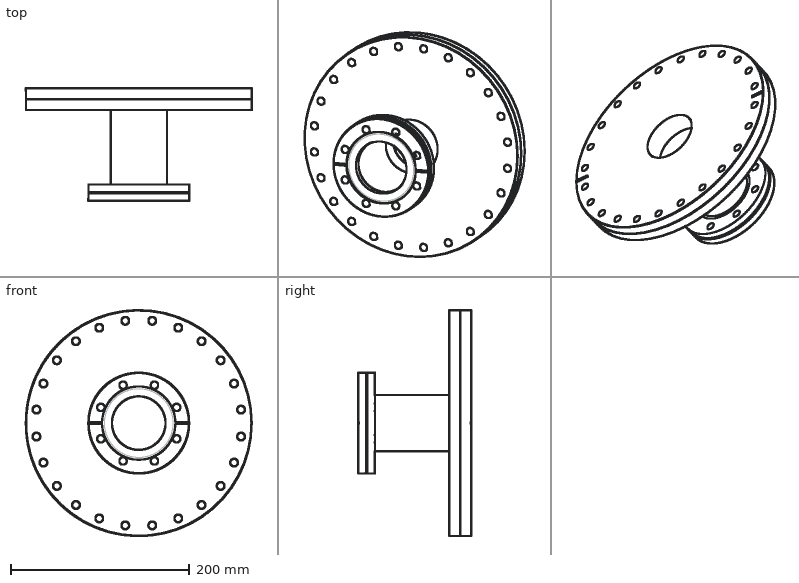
import cadquery as cq

overall_length = 127.0
front_y = -overall_length / 2
back_y = overall_length / 2

edge_chamfer = 0.5
bolt_hole_diameter = 8.5

large_diameter = 254.0
large_thickness = 25.0
large_bolt_count = 24
large_bolt_circle = 232.0
rim_groove_width = 0.8
rim_groove_depth = 0.38
large_front_y = back_y - large_thickness

tube_outer_diameter = 63.5
tube_inner_diameter = 60.0
socket_diameter = 63.8

ring_diameter = 113.5
ring_thickness = 18.8
ring_bolt_count = 8
ring_bolt_circle = 92.2
ring_groove_width = 1.5
ring_groove_depth = 0.8
ring_back_y = front_y + ring_thickness
seat_diameter = 82.5
hub_diameter = 70.5
shoulder_y = front_y + ring_thickness / 2

seal_diameter = 82.3
seal_bore_diameter = 60.2
knife_edge_diameter = 77.2
knife_edge_recess = 1.0
knife_edge_height = 0.8
knife_edge_y = front_y + knife_edge_recess

slot_width = 2.3
slot_depth = 0.8
slot_radius = ((slot_width / 2) ** 2 + slot_depth**2) / (2 * slot_depth)
slot_length = (ring_diameter - seat_diameter) / 2


def revolve_about_y(profile):
    """Turn a closed outline of (radius, y) points into a solid about the Y axis."""
    return cq.Workplane("XY").polyline(profile).close().revolve(360, (0, 0, 0), (0, 1, 0))


def cylinder(diameter, start_y, end_y):
    """Solid cylinder on the Y axis."""
    return cq.Workplane("XZ", origin=(0, start_y, 0)).circle(diameter / 2).extrude(start_y - end_y)


def bolt_holes(count, circle_diameter, start_y, end_y):
    """Drills on a bolt circle, set so that the X axis falls midway between two of them."""
    return (
        cq.Workplane("XZ", origin=(0, start_y, 0))
        .polarArray(circle_diameter / 2, 180 / count, 360, count)
        .circle(bolt_hole_diameter / 2)
        .extrude(start_y - end_y)
    )


def leak_slots(rim_diameter, face_y, outward):
    """Round slot cutters at -X and +X; outward is the Y direction (-1 or 1) that the face looks in."""
    axis_y = face_y + outward * (slot_radius - slot_depth)
    inner_radius = rim_diameter / 2 - slot_length
    cutter = cq.Workplane("YZ", origin=(inner_radius, axis_y, 0)).circle(slot_radius).extrude(2 * slot_length)
    return cutter.union(cutter.mirror("YZ"))


def make_large_flange():
    radius = large_diameter / 2
    groove_y = back_y - large_thickness / 2
    body = revolve_about_y([
        (0, large_front_y),
        (radius - edge_chamfer, large_front_y),
        (radius, large_front_y + edge_chamfer),
        (radius, groove_y - rim_groove_width / 2),
        (radius - rim_groove_depth, groove_y),
        (radius, groove_y + rim_groove_width / 2),
        (radius, back_y - edge_chamfer),
        (radius - edge_chamfer, back_y),
        (0, back_y),
    ])
    body = body.cut(cylinder(tube_inner_diameter, large_front_y, back_y))
    body = body.cut(bolt_holes(large_bolt_count, large_bolt_circle, large_front_y, back_y))
    return body.cut(leak_slots(large_diameter, back_y, 1))


def make_tube():
    outer = cylinder(tube_outer_diameter, shoulder_y, large_front_y)
    return outer.cut(cylinder(tube_inner_diameter, shoulder_y, large_front_y))


def make_seal_ring():
    """Ring with a knife edge, a wide front shoulder and a hub with a socket for the tube."""
    return revolve_about_y([
        (seal_bore_diameter / 2, knife_edge_y),
        (knife_edge_diameter / 2, knife_edge_y),
        (seal_diameter / 2, knife_edge_y + knife_edge_height),
        (seal_diameter / 2, shoulder_y),
        (hub_diameter / 2, shoulder_y),
        (hub_diameter / 2, ring_back_y),
        (socket_diameter / 2, ring_back_y),
        (socket_diameter / 2, shoulder_y),
        (seal_bore_diameter / 2, shoulder_y),
    ])


def make_rotatable_ring():
    radius = ring_diameter / 2
    groove_y = front_y + ring_thickness / 2
    groove_front_y = groove_y - ring_groove_width / 2
    groove_back_y = groove_y + ring_groove_width / 2
    body = revolve_about_y([
        (seat_diameter / 2, front_y),
        (radius - edge_chamfer, front_y),
        (radius, front_y + edge_chamfer),
        (radius, groove_front_y),
        (radius - ring_groove_depth, groove_front_y),
        (radius - ring_groove_depth, groove_back_y),
        (radius, groove_back_y),
        (radius, ring_back_y),
        (hub_diameter / 2, ring_back_y),
        (hub_diameter / 2, shoulder_y),
        (seat_diameter / 2, shoulder_y),
    ])
    body = body.cut(bolt_holes(ring_bolt_count, ring_bolt_circle, front_y, ring_back_y))
    return body.cut(leak_slots(ring_diameter, front_y, -1))


large_flange = make_large_flange()
tube = make_tube()
seal_ring = make_seal_ring()
rotatable_ring = make_rotatable_ring()

result = cq.Compound.makeCompound([
    large_flange.val(),
    tube.val(),
    seal_ring.val(),
    rotatable_ring.val(),
])